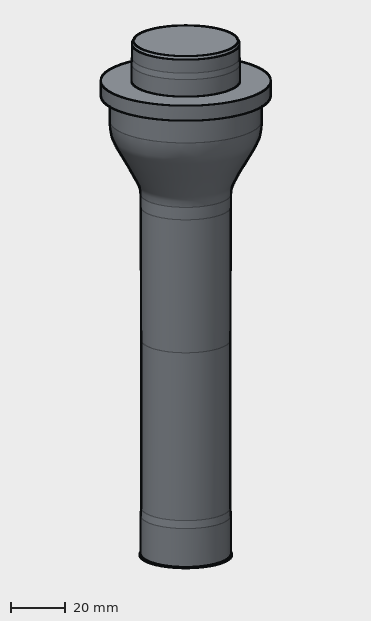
import cadquery as cq

total_height = 199.0
flange_top = 183.7
flange_bottom = 177.9
shoulder_top = 168.3
taper_top = 135.3
taper_bottom = 84.2
handle_cone_top = 19.7
handle_cone_bottom = 16.7
rim_height = 2.0
rim_edge_height = 1.5

flange_diameter = 62.5
head_base_diameter = 40.0
head_tip_diameter = 39.5
bell_diameter = 56.0
end_diameter = 33.2
grip_diameter = 32.8
neck_diameter = 33.2
rim_diameter = 34.0

head_cone_bottom = 190.2
head_cone_top = 192.6
head_chamfer_height = 1.2
head_chamfer_width = 0.5

shoulder_bottom = 140.0
cone_bottom = (18.0, 145.0)
cone_top = (25.3, 158.2)


def turn(profile):
    """Revolve a closed radius/height profile about the Z axis."""
    return profile.close().revolve(360, (0, 0, 0), (0, 1, 0))


def make_head():
    """Flange carrying a cylinder that narrows through a short cone and ends in a chamfer."""
    flange_radius = flange_diameter / 2
    base_radius = head_base_diameter / 2
    tip_radius = head_tip_diameter / 2
    profile = (
        cq.Workplane("XZ")
        .moveTo(0, flange_bottom)
        .lineTo(flange_radius, flange_bottom)
        .lineTo(flange_radius, flange_top)
        .lineTo(base_radius, flange_top)
        .lineTo(base_radius, head_cone_bottom)
        .lineTo(tip_radius, head_cone_top)
        .lineTo(tip_radius, total_height - head_chamfer_height)
        .lineTo(tip_radius - head_chamfer_width, total_height)
        .lineTo(0, total_height)
    )
    return turn(profile)


def make_handle():
    """Turned handle: domed end, rim, slightly tapered shaft and bell-shaped shoulder."""
    end_radius = end_diameter / 2
    bell_radius = bell_diameter / 2
    grip_radius = grip_diameter / 2
    neck_radius = neck_diameter / 2
    rim_radius = rim_diameter / 2

    dome_middle = (rim_radius / 2, rim_edge_height / 4)

    profile = (
        cq.Workplane("XZ")
        .moveTo(0, 0)
        .threePointArc(dome_middle, (rim_radius, rim_edge_height))
        .lineTo(end_radius, rim_height)
        .lineTo(end_radius, handle_cone_bottom)
        .lineTo(grip_radius, handle_cone_top)
        .lineTo(grip_radius, taper_bottom)
        .spline([(neck_radius, taper_top)], tangents=[(0, 1), (0, 1)], includeCurrent=True)
        .lineTo(neck_radius, shoulder_bottom)
        .spline(
            [cone_bottom, cone_top, (bell_radius, shoulder_top)],
            tangents=[(0, 1), (0, 1)],
            includeCurrent=True,
        )
        .lineTo(bell_radius, flange_bottom)
        .lineTo(0, flange_bottom)
    )
    return turn(profile)


head = make_head()
handle = make_handle()

result = cq.Compound.makeCompound([head.val(), handle.val()])